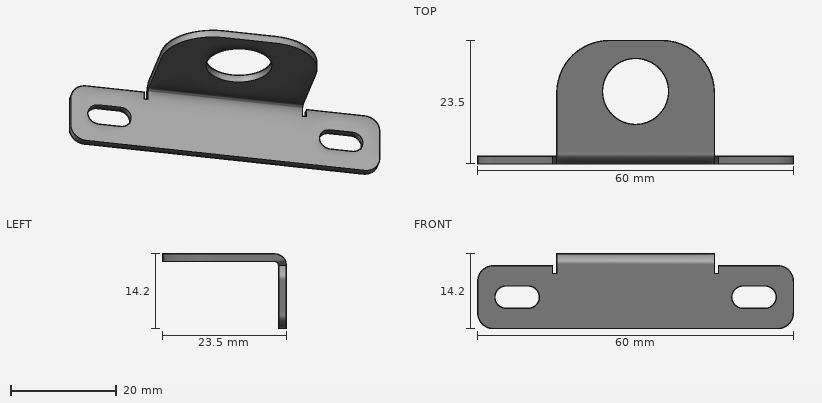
import cadquery as cq
import math

thickness = 1.5
bend_inner_radius = 0.75
bend_outer_radius = bend_inner_radius + thickness

plate_length = 60.0
plate_height = 12.0
plate_corner_radius = 3.0

tab_width = 30.0
tab_reach = 23.5
tab_corner_radius = 10.0
tab_top = plate_height + bend_outer_radius
tab_hole_diameter = 12.5
tab_hole_y = 13.8

notch_width = 0.75
notch_depth = 1.5

slot_length = 8.4
slot_height = 4.2
slot_spacing = 45.0


def make_plate():
    """Upright plate with rounded corners."""
    return (
        cq.Workplane("XY")
        .box(plate_length, thickness, plate_height, centered=(True, False, False))
        .edges("|Y")
        .fillet(plate_corner_radius)
    )


def make_tab():
    """Horizontal tab with rounded free corners."""
    return (
        cq.Workplane("XY", origin=(0, bend_outer_radius, tab_top - thickness))
        .box(tab_width, tab_reach - bend_outer_radius, thickness, centered=(True, False, False))
        .edges("|Z and >Y")
        .fillet(tab_corner_radius)
    )


def make_bend():
    """Quarter-round bend joining the plate to the tab."""
    diagonal = math.cos(math.radians(45))
    outer_mid = bend_outer_radius * diagonal
    inner_mid = bend_inner_radius * diagonal
    return (
        cq.Workplane("YZ", origin=(-tab_width / 2, bend_outer_radius, plate_height))
        .moveTo(-bend_outer_radius, 0)
        .threePointArc((-outer_mid, outer_mid), (0, bend_outer_radius))
        .lineTo(0, bend_inner_radius)
        .threePointArc((-inner_mid, inner_mid), (-bend_inner_radius, 0))
        .close()
        .extrude(tab_width)
    )


def cut_notches(body):
    """Cut a relief notch into the plate beside each end of the bend."""
    notch_x = (tab_width + notch_width) / 2
    for side in (-1, 1):
        notch = (
            cq.Workplane("XY", origin=(side * notch_x, 0, plate_height - notch_depth))
            .box(notch_width, thickness, notch_depth, centered=(True, False, False))
        )
        body = body.cut(notch)
    return body


def cut_slots(body):
    """Cut the two mounting slots through the plate."""
    slots = (
        cq.Workplane("XZ", origin=(0, 0, plate_height / 2))
        .pushPoints([(-slot_spacing / 2, 0), (slot_spacing / 2, 0)])
        .slot2D(slot_length, slot_height)
        .extrude(-thickness)
    )
    return body.cut(slots)


def cut_tab_hole(body):
    """Cut the round hole through the tab."""
    hole = (
        cq.Workplane("XY", origin=(0, tab_hole_y, tab_top - thickness))
        .circle(tab_hole_diameter / 2)
        .extrude(thickness)
    )
    return body.cut(hole)


result = make_plate().union(make_bend()).union(make_tab())
result = cut_notches(result)
result = cut_slots(result)
result = cut_tab_hole(result)